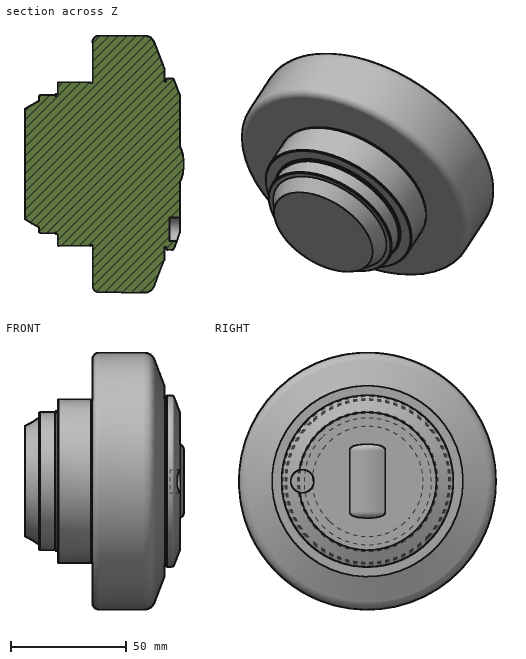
import cadquery as cq
import math


nose_tip_radius = 24.0
nose_base_radius = 27.5
nose_length = 6.1
collar_radius = 30.0
collar_end = 13.5
collar_foot_radius = 30.4
edge_chamfer = 0.5

body_radius = 35.5
body_start = 14.1
body_end = 28.5
relief_depth = 0.5

roller_radius = 55.7
roller_start = 29.2
roller_end = 60.5
roller_face_radius = 41.3
taper_angle = math.radians(21)
back_fillet = 3.0
front_fillet = 4.8

neck_radius = 35.9
cap_start = 61.2
cap_end = 67.2
cap_radius = 37.2
cap_face_radius = 29.9
cap_fillet = 1.1

side_roller_radius = 17.8
side_roller_reach = 69.0
side_roller_half_length = 16.3
side_roller_fillet = 3.0

hole_radius = 5.0
hole_offset = 28.2
hole_depth = 4.5


def revolve_about_x(points):
    """Solid of revolution from (axial position, radius) points."""
    return cq.Workplane("XY").polyline(points).close().revolve(360, (0, 0, 0), (1, 0, 0))


def disc(start, end, radius):
    """Plain cylinder along X."""
    return cq.Workplane("YZ").workplane(offset=start).circle(radius).extrude(end - start)


def tapered_disc(start, end, radius, face_radius):
    """Cylinder along X whose front edge tapers down to a smaller flat face."""
    taper_start = end - (radius - face_radius) * math.tan(taper_angle)
    return revolve_about_x(
        [(start, 0), (start, radius), (taper_start, radius), (end, face_radius), (end, 0)]
    )


def make_pin():
    nose = revolve_about_x(
        [(0, 0), (0, nose_tip_radius), (nose_length, nose_base_radius), (nose_length, 0)]
    )
    collar = disc(nose_length, collar_end, collar_radius).edges().chamfer(edge_chamfer)
    body = disc(body_start, body_end, body_radius).faces("<X").edges().chamfer(edge_chamfer)
    collar_foot = disc(collar_end, body_start, collar_foot_radius)
    body_relief = disc(body_end, roller_start, body_radius - relief_depth)
    return nose.union(collar).union(collar_foot).union(body).union(body_relief)


def make_roller():
    roller = tapered_disc(roller_start, roller_end, roller_radius, roller_face_radius)
    roller = roller.faces("<X").edges().fillet(back_fillet)
    rim = cq.selectors.RadiusNthSelector(-1)
    return roller.edges(rim).edges(">X").fillet(front_fillet)


def make_cap():
    cap = tapered_disc(cap_start, cap_end, cap_radius, cap_face_radius)
    cap = cap.faces("<X").edges().chamfer(edge_chamfer)
    rim = cq.selectors.RadiusNthSelector(-1)
    cap = cap.edges(rim).edges(">X").fillet(cap_fillet)
    neck = disc(roller_end, cap_start, neck_radius)
    hole = (
        cq.Workplane("YZ")
        .workplane(offset=cap_end - hole_depth)
        .center(-hole_offset, 0)
        .circle(hole_radius)
        .extrude(hole_depth)
    )
    return cap.union(neck).cut(hole)


def make_side_roller():
    return (
        cq.Workplane("XY")
        .workplane(offset=-side_roller_half_length)
        .center(side_roller_reach - side_roller_radius, 0)
        .circle(side_roller_radius)
        .extrude(2 * side_roller_half_length)
        .edges("%CIRCLE")
        .fillet(side_roller_fillet)
    )


result = make_pin().union(make_roller()).union(make_cap()).union(make_side_roller())